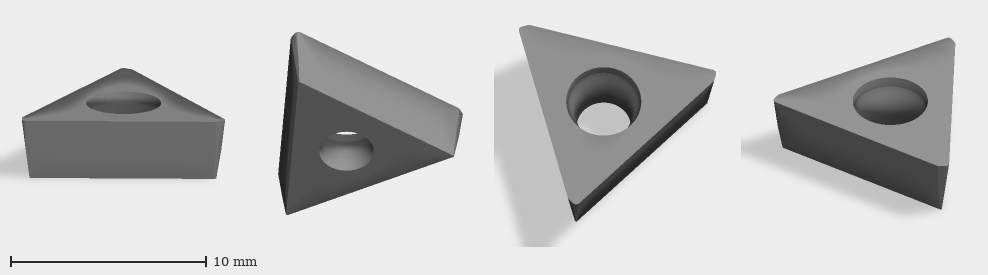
import cadquery as cq
import math

overall_length = 10.4
height = 3.18
inscribed_radius = 3.17
clearance_angle = 7
nose_radius = 0.21
corner_count = 3

rim_radius = 1.92
wall_radius = 1.87
wall_depth = 0.55
step_radius = 1.81
step_depth = 0.7
seat_radius = 1.74
seat_depth = 0.83
bore_radius = 1.39
bore_depth = 2.06

slope = math.tan(math.radians(clearance_angle))
nose_reach = math.sqrt(3) / 2 * (inscribed_radius - nose_radius) + nose_radius / 2
facet_distance = (overall_length - nose_reach) / 1.5
corner_angle = 360 / corner_count
long_flank_normal = 60
facet_normal = 90
next_flank_normal = long_flank_normal + corner_angle
overlap = 0.1
nose_height = nose_radius / slope


def rotated(point, angle):
    """Turn a plan point about the hole axis, angle in degrees."""
    turn = math.radians(angle)
    x, y = point
    return (
        x * math.cos(turn) - y * math.sin(turn),
        x * math.sin(turn) + y * math.cos(turn),
    )


def outline(inset):
    """Sharp outline: each corner is clipped by one short facet."""
    flank = inscribed_radius - inset
    facet = facet_distance - inset
    facet_start = (2 * flank - math.sqrt(3) * facet, facet)
    nose_tip = (-flank, facet)
    return [
        rotated(point, corner * corner_angle)
        for corner in range(corner_count)
        for point in (facet_start, nose_tip)
    ]


def sharp_section(top_depth, bottom_depth):
    """Slice of the tapered body between two depths below the top face."""
    return (
        cq.Workplane("XY", origin=(0, 0, -top_depth))
        .polyline(outline(top_depth * slope))
        .close()
        .workplane(offset=top_depth - bottom_depth)
        .polyline(outline(bottom_depth * slope))
        .close()
        .loft(ruled=True)
    )


def nose_cutter(corner_point, first_normal, second_normal):
    """Waste outside one conical nose; the normals of its two sides are plan angles in degrees."""
    half_turn = math.radians(second_normal - first_normal) / 2
    bisector = (first_normal + second_normal) / 2

    def offset(distance, angle):
        return cq.Vector(*rotated((distance, 0), angle))

    center = cq.Vector(*corner_point) - offset(nose_radius / math.cos(half_turn), bisector)
    apex = center - cq.Vector(0, 0, nose_height)
    reach = nose_radius + overlap
    base = [
        center,
        center + offset(reach, first_normal),
        center + offset(reach / math.cos(half_turn), bisector),
        center + offset(reach, second_normal),
    ]
    faces = [cq.Face.makeFromWires(cq.Wire.makePolygon(base, close=True))]
    for start, end in zip(base, base[1:] + base[:1]):
        side = cq.Wire.makePolygon([start, end, apex], close=True)
        faces.append(cq.Face.makeFromWires(side))
    pyramid = cq.Solid.makeSolid(cq.Shell.makeShell(faces))
    nose = cq.Solid.makeCone(0, nose_radius, nose_height, pnt=apex)
    return cq.Workplane(obj=pyramid.cut(nose))


def screw_hole():
    """Steep wall, two narrow bands, then a convex seat tangent to the bore."""
    seat_width = seat_radius - bore_radius
    seat_length = bore_depth - seat_depth
    seat_turn = 2 * math.atan(seat_width / seat_length)
    seat_arc_radius = seat_length / math.sin(seat_turn)
    seat_middle = (
        bore_radius + seat_arc_radius * (1 - math.cos(seat_turn / 2)),
        -bore_depth + seat_arc_radius * math.sin(seat_turn / 2),
    )
    return (
        cq.Workplane("XZ")
        .moveTo(0, 0)
        .lineTo(rim_radius, 0)
        .lineTo(wall_radius, -wall_depth)
        .lineTo(step_radius, -step_depth)
        .lineTo(seat_radius, -seat_depth)
        .threePointArc(seat_middle, (bore_radius, -bore_depth))
        .lineTo(bore_radius, -height)
        .lineTo(0, -height)
        .close()
        .revolve(360, (0, 0, 0), (0, 1, 0))
    )


upper_section = sharp_section(0, nose_height)
facet_start, nose_tip = outline(0)[:2]
cutters = [
    nose_cutter(facet_start, long_flank_normal, facet_normal),
    nose_cutter(nose_tip, facet_normal, next_flank_normal),
]
for corner in range(corner_count):
    for cutter in cutters:
        upper_section = upper_section.cut(cutter.rotate((0, 0, 0), (0, 0, 1), corner * corner_angle))

result = upper_section.union(sharp_section(nose_height, height), clean=False)
result = result.cut(screw_hole(), clean=False)